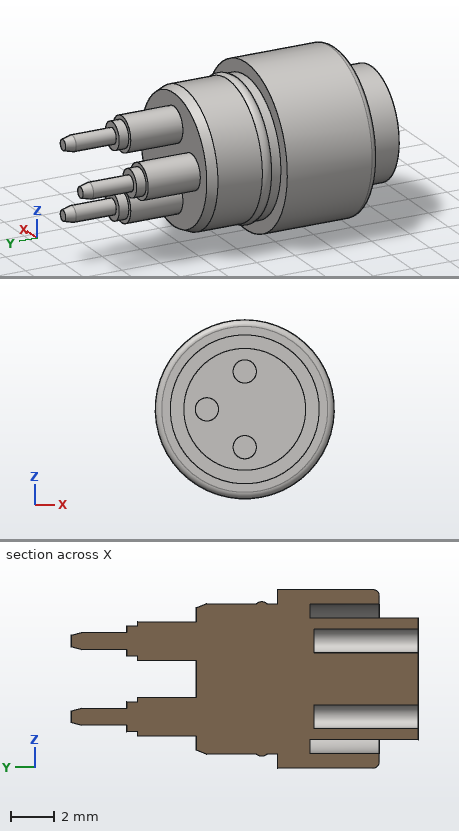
import cadquery as cq

collar_front = 1.8
collar_back = 6.54
ring_center = 7.26
body_back = 10.3
sleeve_back = 13.02
shoulder_back = 13.52
pin_taper_start = 15.62
pin_end = 16.1

insert_diameter = 5.65
collar_diameter = 8.3
collar_bore_diameter = 6.9
body_diameter = 7.0
sleeve_diameter = 1.8
shoulder_diameter = 1.4
pin_diameter = 0.8
pin_tip_diameter = 0.55
socket_diameter = 1.08
ring_diameter = 7.2

collar_fillet = 0.3
body_chamfer_length = 0.48
body_chamfer_inset = 0.2
ring_width = 0.48
recess_depth = 3.22
socket_depth = 4.83

contact_offset = 1.75
contact_positions = [(0, contact_offset), (-contact_offset, 0), (0, -contact_offset)]


def cylinder(diameter, start, end, x=0, z=0):
    """Solid cylinder along +Y between two stations."""
    direction = cq.Vector(0, 1, 0)
    return cq.Workplane(cq.Solid.makeCylinder(diameter / 2, end - start, cq.Vector(x, start, z), direction))


def revolve_about_y(profile):
    """Turn a closed (radius, y) profile about the Y axis."""
    return profile.revolve(360, (0, 0, 0), (0, 1, 0))


def make_collar():
    collar = cylinder(collar_diameter, collar_front, collar_back)
    collar = collar.faces("<Y").edges().fillet(collar_fillet)
    recess = cylinder(collar_bore_diameter, collar_front, collar_front + recess_depth)
    return collar.cut(recess)


def make_body():
    radius = body_diameter / 2
    profile = (
        cq.Workplane("XY")
        .moveTo(0, collar_back)
        .lineTo(radius, collar_back)
        .lineTo(radius, body_back - body_chamfer_length)
        .lineTo(radius - body_chamfer_inset, body_back)
        .lineTo(0, body_back)
        .close()
    )
    return revolve_about_y(profile)


def make_sealing_ring():
    """Disc with a rounded rim that stands just proud of the body."""
    shoulder_radius = body_diameter / 2
    front = ring_center - ring_width / 2
    back = ring_center + ring_width / 2
    profile = (
        cq.Workplane("XY")
        .moveTo(0, front)
        .lineTo(shoulder_radius, front)
        .threePointArc((ring_diameter / 2, ring_center), (shoulder_radius, back))
        .lineTo(0, back)
        .close()
    )
    return revolve_about_y(profile)


def make_contact(x, z):
    """Stepped rear contact with a tapered tip, rooted at the back of the body."""
    contact = cylinder(sleeve_diameter, body_back, sleeve_back, x, z)
    contact = contact.union(cylinder(shoulder_diameter, sleeve_back, shoulder_back, x, z))
    contact = contact.union(cylinder(pin_diameter, shoulder_back, pin_taper_start, x, z))
    tip = cq.Solid.makeCone(
        pin_diameter / 2,
        pin_tip_diameter / 2,
        pin_end - pin_taper_start,
        cq.Vector(x, pin_taper_start, z),
        cq.Vector(0, 1, 0),
    )
    return contact.union(cq.Workplane(tip))


result = make_collar().union(make_body()).union(make_sealing_ring())
result = result.union(cylinder(insert_diameter, 0, collar_back))
for x, z in contact_positions:
    result = result.union(make_contact(x, z))
    result = result.cut(cylinder(socket_diameter, 0, socket_depth, x, z))